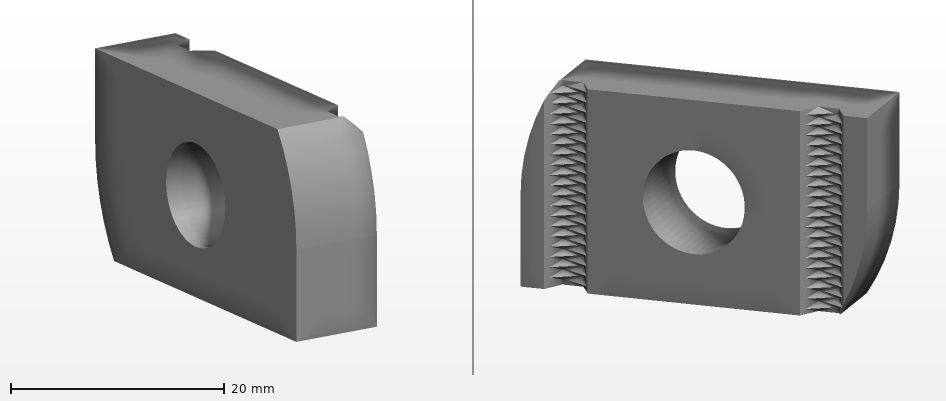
import cadquery as cq
import math

length = 34.5
thickness = 9.0
height = 20.0

hole_diameter = 10.15

corner_setback = 3.25
straight_end_height = 9.0

groove_spacing = 25.45
groove_mouth = 4.35
groove_floor = 2.07
groove_depth = 1.95

tooth_count = 20
tooth_crest_depth = 0.62
tooth_crest_angle = 30.0

tooth_pitch = height / tooth_count
half_length = length / 2
half_height = height / 2
half_thickness = thickness / 2
arc_drop = height - straight_end_height
arc_radius = (corner_setback**2 + arc_drop**2) / (2 * corner_setback)


def make_body():
    """Plate with one rounded corner at the top right and one at the bottom left."""
    return (
        cq.Workplane("XZ", origin=(0, half_thickness, 0))
        .moveTo(-half_length, half_height)
        .lineTo(half_length - corner_setback, half_height)
        .radiusArc((half_length, half_height - arc_drop), arc_radius)
        .lineTo(half_length, -half_height)
        .lineTo(-half_length + corner_setback, -half_height)
        .radiusArc((-half_length, -half_height + arc_drop), arc_radius)
        .close()
        .extrude(thickness)
    )


def make_groove(center_x):
    """Trapezoidal cutter running the full height of the back face."""
    floor_y = half_thickness - groove_depth
    return (
        cq.Workplane("XY", origin=(center_x, 0, -half_height))
        .moveTo(-groove_mouth / 2, half_thickness)
        .lineTo(groove_mouth / 2, half_thickness)
        .lineTo(groove_floor / 2, floor_y)
        .lineTo(-groove_floor / 2, floor_y)
        .close()
        .extrude(height)
    )


def make_tooth(center_x, side, base_z):
    """Tooth on one groove wall: a slanted crest that tapers to the floor corner above and below."""
    floor_y = half_thickness - groove_depth
    wall_slope = (groove_mouth - groove_floor) / 2 / groove_depth
    rise = groove_depth - tooth_crest_depth
    wall_x = groove_floor / 2 + rise * wall_slope
    tip_x = wall_x - rise / math.tan(math.radians(tooth_crest_angle))
    corner_x = center_x + side * groove_floor / 2
    crest_z = base_z + tooth_pitch / 2

    crest_wall = cq.Vector(center_x + side * wall_x, floor_y + rise, crest_z)
    crest_tip = cq.Vector(center_x + side * tip_x, floor_y, crest_z)
    bottom = cq.Vector(corner_x, floor_y, base_z)
    top = cq.Vector(corner_x, floor_y, base_z + tooth_pitch)

    triangles = [
        (crest_wall, crest_tip, bottom),
        (crest_wall, crest_tip, top),
        (crest_wall, bottom, top),
        (crest_tip, bottom, top),
    ]
    faces = [cq.Face.makeFromWires(cq.Wire.makePolygon(corners, close=True)) for corners in triangles]
    return cq.Workplane(cq.Solid.makeSolid(cq.Shell.makeShell(faces)))


hole = cq.Workplane("XZ", origin=(0, half_thickness, 0)).circle(hole_diameter / 2).extrude(thickness)

body = make_body()
result = body.cut(hole)
for groove_side in (-1, 1):
    groove_x = groove_side * groove_spacing / 2
    result = result.cut(make_groove(groove_x))
    inner_row = (-groove_side, tooth_count, -half_height)
    outer_row = (groove_side, tooth_count - 1, -half_height + tooth_pitch / 2)
    for wall_side, count, first_z in (inner_row, outer_row):
        for index in range(count):
            tooth = make_tooth(groove_x, wall_side, first_z + index * tooth_pitch)
            result = result.union(tooth.intersect(body))